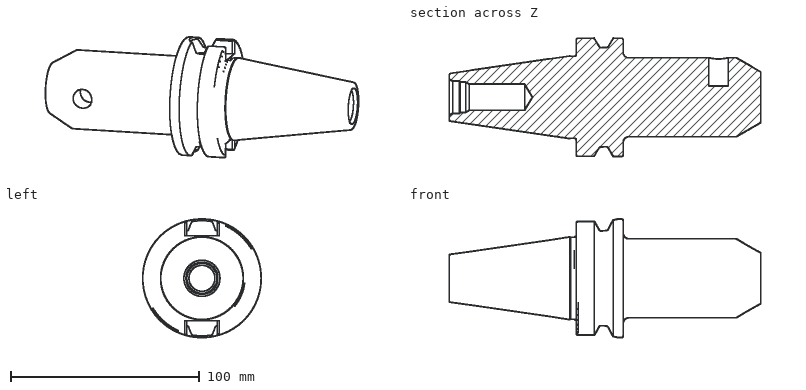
import cadquery as cq
import math


TAPER_RATIO = 7 / 24
GAUGE_DIAMETER = 44.45
SHANK_LENGTH = 65.4
TAIL_X = -SHANK_LENGTH
SHANK_END_FILLET = 1.0
TAPER_TOP_X = -1.5
NECK_START_X = -1.0
NECK_RADIUS = 21.8
NECK_FILLET = 1.0

FLANGE_START_X = 2.0
FLANGE_END_X = 27.0
FLANGE_RADIUS = 31.5
FLANGE_FILLET = 1.0
GROOVE_CENTRE_X = 16.6
GROOVE_WIDTH = 10.0
GROOVE_START_X = GROOVE_CENTRE_X - GROOVE_WIDTH / 2
GROOVE_END_X = GROOVE_CENTRE_X + GROOVE_WIDTH / 2
GROOVE_FLOOR_RADIUS = 26.45
GROOVE_FLANK_ANGLE = 30.0
GROOVE_FILLET = 1.0

BODY_RADIUS = 21.0
BODY_FILLET = 3.0
NOSE_X = 100.0
NOSE_CONE_START_X = 87.0
NOSE_ANGLE = 30.0
NOSE_FILLET = 1.0

SLOT_WIDTH = 16.1
SLOT_HALF_WIDTH = SLOT_WIDTH / 2
SLOT_END_X = 23.0
SLOT_FLOOR = 22.5
SLOT_CHAMFER = 1.0

SCREW_RADIUS = 5.1
SCREW_X = 77.5
SCREW_DEPTH = 15.0

BORE_MOUTH_RADIUS = 9.6
BORE_MOUTH_ANGLE = 30.0
PILOT_RADIUS = 8.5
PILOT_DEPTH = 5.5
COUNTERBORE_RADIUS = 8.0
COUNTERBORE_DEPTH = 8.75
TAP_RADIUS = 6.9
TAP_ENTRY_ANGLE = 30.0
TAP_DEPTH = 40.0
DRILL_POINT_ANGLE = 118.0

TOLERANCE = 0.01


def tangent(angle):
    return math.tan(math.radians(angle))


def taper_radius(x):
    return (GAUGE_DIAMETER + TAPER_RATIO * x) / 2


def revolve_about_x(profile):
    """Solid of revolution from (x, radius) points, with its seam on the -Y side."""
    points = [(x, -radius) for x, radius in profile]
    return cq.Workplane("XY").polyline(points).close().revolve(360, (0, 0, 0), (1, 0, 0))


def fillet_circle(shape, x, radius, fillet):
    """Round the circular edges about the X axis that have the given X and radius."""
    edges = [
        edge
        for edge in shape.edges("%CIRCLE").vals()
        if abs(edge.startPoint().x - x) < TOLERANCE and abs(edge.radius() - radius) < TOLERANCE
    ]
    return shape.newObject(edges).fillet(fillet)


def make_outer_shape():
    """Turned outer shape; the rear flange rim stays sharp until the slots are cut."""
    groove_run = (FLANGE_RADIUS - GROOVE_FLOOR_RADIUS) * tangent(GROOVE_FLANK_ANGLE)
    floor_start_x = GROOVE_START_X + groove_run
    floor_end_x = GROOVE_END_X - groove_run
    tail_radius = taper_radius(TAIL_X)
    nose_radius = BODY_RADIUS - (NOSE_X - NOSE_CONE_START_X) * tangent(NOSE_ANGLE)
    profile = [
        (TAIL_X, 0),
        (TAIL_X, tail_radius),
        (TAPER_TOP_X, taper_radius(TAPER_TOP_X)),
        (NECK_START_X, NECK_RADIUS),
        (FLANGE_START_X, NECK_RADIUS),
        (FLANGE_START_X, FLANGE_RADIUS),
        (GROOVE_START_X, FLANGE_RADIUS),
        (floor_start_x, GROOVE_FLOOR_RADIUS),
        (floor_end_x, GROOVE_FLOOR_RADIUS),
        (GROOVE_END_X, FLANGE_RADIUS),
        (FLANGE_END_X, FLANGE_RADIUS),
        (FLANGE_END_X, BODY_RADIUS),
        (NOSE_CONE_START_X, BODY_RADIUS),
        (NOSE_X, nose_radius),
        (NOSE_X, 0),
    ]
    rounded_circles = [
        (TAIL_X, tail_radius, SHANK_END_FILLET),
        (FLANGE_START_X, NECK_RADIUS, NECK_FILLET),
        (floor_start_x, GROOVE_FLOOR_RADIUS, GROOVE_FILLET),
        (floor_end_x, GROOVE_FLOOR_RADIUS, GROOVE_FILLET),
        (FLANGE_END_X, FLANGE_RADIUS, FLANGE_FILLET),
        (FLANGE_END_X, BODY_RADIUS, BODY_FILLET),
        (NOSE_CONE_START_X, BODY_RADIUS, NOSE_FILLET),
        (NOSE_X, nose_radius, NOSE_FILLET),
    ]
    shape = revolve_about_x(profile)
    for x, radius, fillet in rounded_circles:
        shape = fillet_circle(shape, x, radius, fillet)
    return shape


def cut_drive_slot(shape, side):
    """Round-ended slot open to the rear, on the +Z side (side = 1) or the -Z side (side = -1)."""
    arc_start_x = SLOT_END_X - SLOT_HALF_WIDTH
    open_end_x = FLANGE_START_X - NECK_FILLET
    slot = (
        cq.Workplane("XY", origin=(0, 0, side * SLOT_FLOOR))
        .moveTo(open_end_x, -SLOT_HALF_WIDTH)
        .lineTo(arc_start_x, -SLOT_HALF_WIDTH)
        .threePointArc((SLOT_END_X, 0), (arc_start_x, SLOT_HALF_WIDTH))
        .lineTo(open_end_x, SLOT_HALF_WIDTH)
        .close()
        .extrude(side * (FLANGE_RADIUS - SLOT_FLOOR))
    )
    return shape.cut(slot)


def chamfer_drive_slot(shape, side):
    """Chamfer the slot where its walls meet the rear flange and where its end meets the front rim."""
    z_min, z_max = sorted((side * SLOT_FLOOR, side * FLANGE_RADIUS))

    def edges_within(x_min, x_max, y_min, y_max):
        return cq.selectors.BoxSelector(
            (x_min - TOLERANCE, y_min - TOLERANCE, z_min - TOLERANCE),
            (x_max + TOLERANCE, y_max + TOLERANCE, z_max + TOLERANCE),
            boundingbox=True,
        )

    near_wall = edges_within(FLANGE_START_X, GROOVE_START_X, -SLOT_HALF_WIDTH, -SLOT_HALF_WIDTH)
    far_wall = edges_within(FLANGE_START_X, GROOVE_START_X, SLOT_HALF_WIDTH, SLOT_HALF_WIDTH)
    slot_end = edges_within(GROOVE_END_X, SLOT_END_X, -SLOT_HALF_WIDTH, SLOT_HALF_WIDTH)
    return shape.edges(near_wall + far_wall + slot_end).chamfer(SLOT_CHAMFER)


def cut_tail_bore(shape):
    """Stepped bore for the pull stud, ending in a drill point."""
    mouth_depth = (BORE_MOUTH_RADIUS - PILOT_RADIUS) / tangent(BORE_MOUTH_ANGLE)
    pilot_chamfer = PILOT_RADIUS - COUNTERBORE_RADIUS
    tap_entry = (COUNTERBORE_RADIUS - TAP_RADIUS) / tangent(TAP_ENTRY_ANGLE)
    drill_point = TAP_RADIUS / tangent(DRILL_POINT_ANGLE / 2)
    steps = [
        (0, 0),
        (0, BORE_MOUTH_RADIUS),
        (mouth_depth, PILOT_RADIUS),
        (PILOT_DEPTH, PILOT_RADIUS),
        (PILOT_DEPTH + pilot_chamfer, COUNTERBORE_RADIUS),
        (COUNTERBORE_DEPTH, COUNTERBORE_RADIUS),
        (COUNTERBORE_DEPTH + tap_entry, TAP_RADIUS),
        (TAP_DEPTH, TAP_RADIUS),
        (TAP_DEPTH + drill_point, 0),
    ]
    return shape.cut(revolve_about_x([(TAIL_X + depth, radius) for depth, radius in steps]))


def cut_screw_hole(shape):
    """Blind radial hole from the +Y side."""
    hole = cq.Workplane("XZ", origin=(SCREW_X, BODY_RADIUS, 0)).circle(SCREW_RADIUS).extrude(SCREW_DEPTH)
    return shape.cut(hole)


result = make_outer_shape()
for slot_side in (1, -1):
    result = cut_drive_slot(result, slot_side)
    result = chamfer_drive_slot(result, slot_side)
result = fillet_circle(result, FLANGE_START_X, FLANGE_RADIUS, FLANGE_FILLET)
result = cut_tail_bore(result)
result = cut_screw_hole(result)